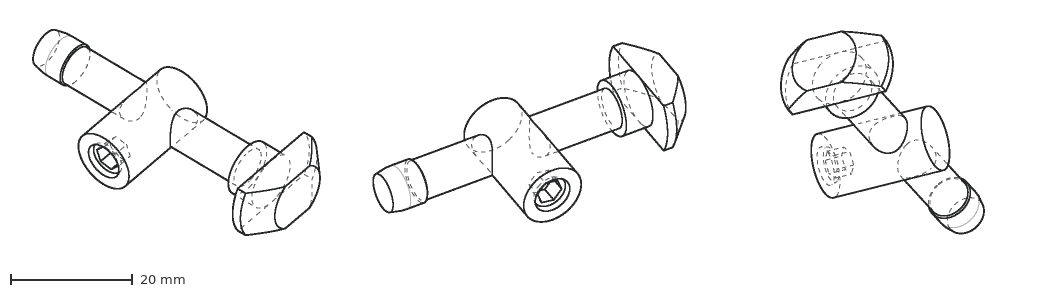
import cadquery as cq
import math

BARREL_DIAMETER = 10.85
BARREL_FRONT_Y = -14.0
BARREL_BACK_Y = 6.0

SHAFT_DIAMETER = 7.0
TIP_END_X = -24.0
TIP_TAPER_LENGTH = 3.0
TIP_TAPER_RADIUS = 10.0
BAND_DIAMETER = 7.65
BAND_LENGTH = 3.4
BAND_BEVEL_LENGTH = 0.2

HEAD_DIAMETER = 19.6
HEAD_THICKNESS = 5.7
HEAD_RIM_THICKNESS = 1.7
HEAD_BACK_X = 24.0
HEAD_WIDTH = 9.8
COLLAR_DIAMETER = HEAD_WIDTH
COLLAR_LENGTH = 5.0

RECESS_MOUTH_DIAMETER = 6.5
RECESS_FLOOR_DIAMETER = 6.0
RECESS_DEPTH = 1.0
HEX_SIDES = 6
HEX_ACROSS_FLATS = 4.0
HEX_DEPTH = 3.0
HEX_TURN = -10.0


def make_barrel():
    length = BARREL_BACK_Y - BARREL_FRONT_Y
    end_face = cq.Workplane("XZ", origin=(0, BARREL_FRONT_Y, 0))
    return end_face.circle(BARREL_DIAMETER / 2).extrude(-length)


def make_shaft():
    """Shaft with its banded, arc-tapered tip, turned about the X axis."""
    shaft_radius = SHAFT_DIAMETER / 2
    band_radius = BAND_DIAMETER / 2
    band_start_x = TIP_END_X + TIP_TAPER_LENGTH
    band_end_x = band_start_x + BAND_LENGTH

    def taper_height(distance):
        drop = TIP_TAPER_RADIUS - math.sqrt(TIP_TAPER_RADIUS**2 - distance**2)
        return band_radius - drop

    half_taper = TIP_TAPER_LENGTH / 2
    return (
        cq.Workplane("XY")
        .moveTo(TIP_END_X, 0)
        .lineTo(TIP_END_X, taper_height(TIP_TAPER_LENGTH))
        .threePointArc((band_start_x - half_taper, taper_height(half_taper)), (band_start_x, band_radius))
        .lineTo(band_end_x - BAND_BEVEL_LENGTH, band_radius)
        .lineTo(band_end_x, shaft_radius)
        .lineTo(HEAD_BACK_X, shaft_radius)
        .lineTo(HEAD_BACK_X, 0)
        .close()
        .revolve(360, (0, 0, 0), (1, 0, 0))
    )


def make_head():
    """Collar and disc with a 45 degree cone, cut to HEAD_WIDTH by flats above and below."""
    rim_radius = HEAD_DIAMETER / 2
    cone_length = HEAD_THICKNESS - HEAD_RIM_THICKNESS
    rim_end_x = HEAD_BACK_X + HEAD_RIM_THICKNESS
    face_x = HEAD_BACK_X + HEAD_THICKNESS
    disc = (
        cq.Workplane("XY")
        .polyline([
            (HEAD_BACK_X, 0),
            (HEAD_BACK_X, rim_radius),
            (rim_end_x, rim_radius),
            (face_x, rim_radius - cone_length),
            (face_x, 0),
        ])
        .close()
        .revolve(360, (0, 0, 0), (1, 0, 0))
    )
    flats = (
        cq.Workplane("XY", origin=(HEAD_BACK_X, 0, 0))
        .box(HEAD_THICKNESS, HEAD_DIAMETER, HEAD_WIDTH, centered=(False, True, True))
    )
    collar = (
        cq.Workplane("YZ", origin=(HEAD_BACK_X - COLLAR_LENGTH, 0, 0))
        .circle(COLLAR_DIAMETER / 2)
        .extrude(COLLAR_LENGTH)
    )
    return disc.intersect(flats).union(collar)


def make_socket():
    """Cutting body for the recess and the hexagon socket behind it."""
    recess = cq.Workplane(cq.Solid.makeCone(
        RECESS_MOUTH_DIAMETER / 2,
        RECESS_FLOOR_DIAMETER / 2,
        RECESS_DEPTH,
        pnt=cq.Vector(0, BARREL_FRONT_Y, 0),
        dir=cq.Vector(0, 1, 0),
    ))
    across_corners = HEX_ACROSS_FLATS / math.cos(math.pi / HEX_SIDES)
    hexagon = (
        cq.Workplane("XZ", origin=(0, BARREL_FRONT_Y + RECESS_DEPTH, 0))
        .transformed(rotate=(0, 0, HEX_TURN))
        .polygon(HEX_SIDES, across_corners)
        .extrude(-HEX_DEPTH)
    )
    return recess.union(hexagon)


result = make_barrel().union(make_shaft()).union(make_head()).cut(make_socket())